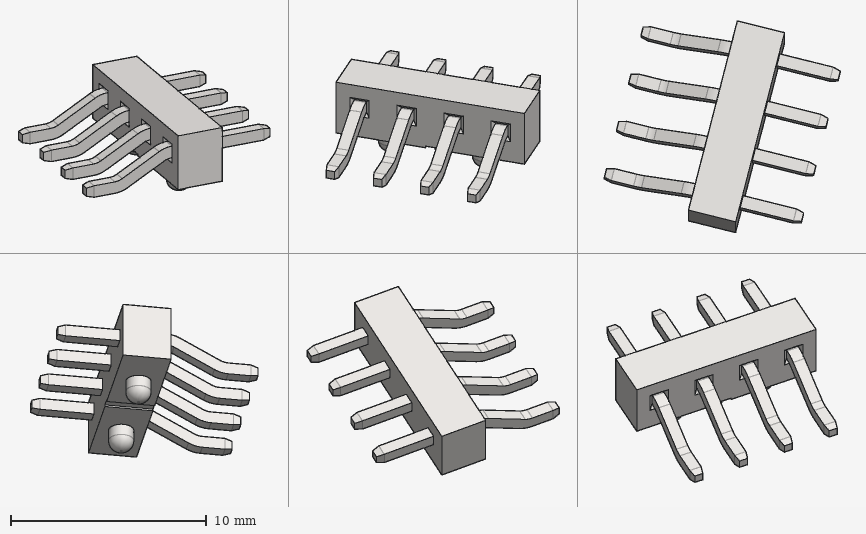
import cadquery as cq
import math

pin_count = 4
pitch = 2.54
body_length = 10.16
body_depth = 2.5
body_height = 3.0

pin_size = 0.65
pin_axis_height = 1.72
pin_back = 4.45
pin_front = pin_back - 10.4
tip_length = 0.4
tip_size = 0.46
bend_start = -1.15
bend_angle = 28
bend_radius = 1.21

pocket_size = 1.04
pocket_depth = (pocket_size - pin_size) / 2

peg_diameter = 1.3
peg_length = 1.21
peg_nose_radius = 0.6
peg_positions = [(-pitch, 0), (pitch, 0)]

groove_width = 0.52
groove_depth = 0.09

front_face = -body_depth / 2
pin_positions = [(i - (pin_count - 1) / 2) * pitch for i in range(pin_count)]


def frustum(y_start, y_end, z_center, start_size, end_size):
    """Square frustum along Y, lofted from one end size to the other."""
    return (
        cq.Workplane("XZ", origin=(0, y_start, z_center))
        .rect(start_size, start_size)
        .workplane(offset=y_start - y_end)
        .rect(end_size, end_size)
        .loft()
    )


def make_housing():
    housing = cq.Workplane("XY").box(body_length, body_depth, body_height, centered=(True, True, False))
    groove = cq.Workplane("XY").box(groove_width, body_depth, groove_depth, centered=(True, True, False))
    housing = housing.cut(groove)
    pocket = frustum(front_face, front_face + pocket_depth, pin_axis_height, pocket_size, pin_size)
    for x in pin_positions:
        housing = housing.cut(pocket.translate((x, 0, 0)))
    return housing


def make_pin():
    foot_height = pin_size / 2
    angle = math.radians(bend_angle)

    bend_run = bend_radius * math.sin(angle)
    bend_drop = bend_radius * (1 - math.cos(angle))
    half_run = bend_radius * math.sin(angle / 2)
    half_drop = bend_radius * (1 - math.cos(angle / 2))

    slope_top = (bend_start - bend_run, pin_axis_height - bend_drop)
    slope_bottom_height = foot_height + bend_drop
    slope_run = (slope_top[1] - slope_bottom_height) / math.tan(angle)
    slope_bottom = (slope_top[0] - slope_run, slope_bottom_height)
    foot_start = slope_bottom[0] - bend_run

    back_shoulder = pin_back - tip_length
    front_shoulder = pin_front + tip_length
    center_line = (
        cq.Workplane("YZ")
        .moveTo(back_shoulder, pin_axis_height)
        .lineTo(bend_start, pin_axis_height)
        .threePointArc((bend_start - half_run, pin_axis_height - half_drop), slope_top)
        .lineTo(*slope_bottom)
        .threePointArc((foot_start + half_run, foot_height + half_drop), (foot_start, foot_height))
        .lineTo(front_shoulder, foot_height)
    )
    shank = (
        cq.Workplane("XZ", origin=(0, back_shoulder, pin_axis_height))
        .rect(pin_size, pin_size)
        .sweep(center_line)
    )
    back_tip = frustum(back_shoulder, pin_back, pin_axis_height, pin_size, tip_size)
    front_tip = frustum(front_shoulder, pin_front, foot_height, pin_size, tip_size)
    return shank.union(back_tip).union(front_tip)


def make_pegs():
    return (
        cq.Workplane("XY")
        .pushPoints(peg_positions)
        .circle(peg_diameter / 2)
        .extrude(-peg_length)
        .faces("<Z")
        .edges()
        .fillet(peg_nose_radius)
    )


pin = make_pin()
result = make_housing().union(make_pegs())
for pin_x in pin_positions:
    result = result.union(pin.translate((pin_x, 0, 0)))